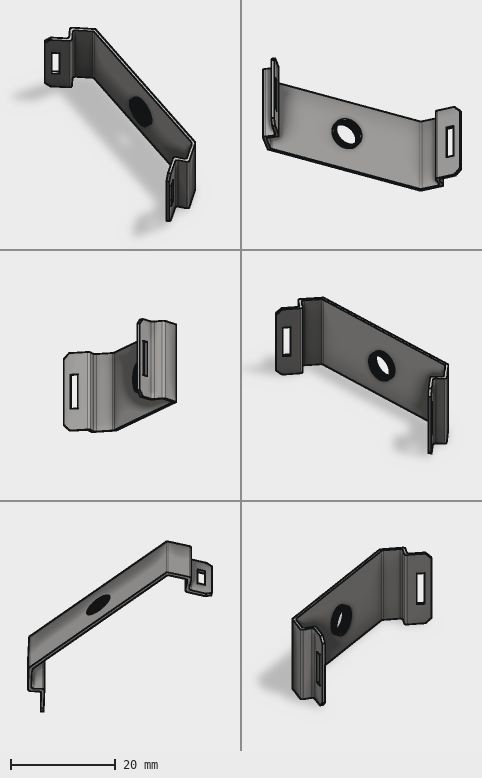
import cadquery as cq
import math

length = 40.93
height = 15.0
thickness = 0.6
depth = 9.34

leg_angle = 51.0
back_half_width = 16.45
knee = (-19.57, -3.75)
waist_drop = 5.39
bend_radius = 0.5
shoulder_radius = 0.3

tip_chamfer_length = 1.15
tip_chamfer_height = 1.1
slot_width = 1.5
slot_height = 6.6
slot_to_tip = 2.08

collar_diameter = 5.8
collar_depth = 1.65
bore_diameter = 5.05
thread_pitch = 0.25
thread_depth = 0.2

angle = math.radians(leg_angle)
up_leg = (math.cos(angle), math.sin(angle), 0)
inward = (math.sin(angle), -math.cos(angle), 0)
tip = (-length / 2, -depth + thickness * math.cos(angle))
inner_tip = (tip[0] + thickness * inward[0], -depth)
shoulder = (-back_half_width, 0)
waist = (tip[0] - (tip[1] + waist_drop) / math.tan(angle), -waist_drop)


def line_normal(start, end):
    """Unit normal on the inner side of an outline running from the back plate to the tip."""
    run = math.dist(start, end)
    return (-(end[1] - start[1]) / run, (end[0] - start[0]) / run)


def inner_corner(before, corner, after):
    """Corner of the inner surface, one sheet thickness away from both outer lines."""
    a = line_normal(before, corner)
    b = line_normal(corner, after)
    scale = thickness / (1 + a[0] * b[0] + a[1] * b[1])
    return (corner[0] + scale * (a[0] + b[0]), corner[1] + scale * (a[1] + b[1]))


def mirrored(points):
    """The points on the other side of the centre plane, in reverse order."""
    return [(-x, y) for x, y in reversed(points)]


def round_bends(sheet, corners, radius):
    """Fillet the vertical edges at the given corners and at their mirror images."""
    for x, y in corners + mirrored(corners):
        sheet = sheet.edges(cq.selectors.NearestToPointSelector((x, y, 0))).fillet(radius)
    return sheet


def make_sheet():
    """Bent strip: back plate with a zigzag leg on each side."""
    inner_shoulder = inner_corner((0, 0), shoulder, knee)
    inner_knee = inner_corner(shoulder, knee, waist)
    inner_waist = inner_corner(knee, waist, tip)
    left_side = [shoulder, knee, waist, tip, inner_tip, inner_waist, inner_knee, inner_shoulder]
    sheet = (
        cq.Workplane("XY")
        .polyline(left_side + mirrored(left_side))
        .close()
        .extrude(height / 2, both=True)
    )
    bends = [knee, waist, inner_waist, inner_knee, inner_shoulder]
    sheet = round_bends(sheet, bends, bend_radius)
    return round_bends(sheet, [shoulder], shoulder_radius)


def leg_plane():
    """Plane on the outer surface of the left leg, origin at the tip, local x up the leg."""
    return cq.Plane(
        origin=(tip[0], tip[1], 0),
        xDir=up_leg,
        normal=inward,
    )


def make_leg_cutters():
    """Latch slot and the two corner chamfers of the left leg, cut square to its surface."""
    reach = 2 * thickness
    cutters = (
        cq.Workplane(leg_plane())
        .center(slot_to_tip, 0)
        .rect(slot_width, slot_height)
        .extrude(reach, both=True)
    )
    for side in (-1, 1):
        edge = side * height / 2
        corner = (
            cq.Workplane(leg_plane())
            .polyline([
                (0, edge),
                (tip_chamfer_length, edge),
                (0, edge - side * tip_chamfer_height),
            ])
            .close()
            .extrude(reach, both=True)
        )
        cutters = cutters.union(corner)
    return cutters


def make_collar():
    """Round collar standing forward from the rear face of the back plate."""
    return cq.Workplane("XZ").circle(collar_diameter / 2).extrude(collar_depth)


def make_threaded_bore():
    """Bore along Y with V-shaped ring grooves standing in for the thread."""
    bore_radius = bore_diameter / 2
    bore = cq.Workplane("XZ").circle(bore_radius).extrude(collar_depth)
    for i in range(int(collar_depth / thread_pitch)):
        start = -i * thread_pitch
        groove = (
            cq.Workplane("XY")
            .polyline([
                (0, start),
                (bore_radius, start),
                (bore_radius + thread_depth, start - thread_pitch / 2),
                (bore_radius, start - thread_pitch),
                (0, start - thread_pitch),
            ])
            .close()
            .revolve(360, (0, 0, 0), (0, 1, 0))
        )
        bore = bore.union(groove)
    return bore


leg_cutters = make_leg_cutters()
result = (
    make_sheet()
    .cut(leg_cutters)
    .cut(leg_cutters.mirror("YZ"))
    .union(make_collar())
    .cut(make_threaded_bore())
)